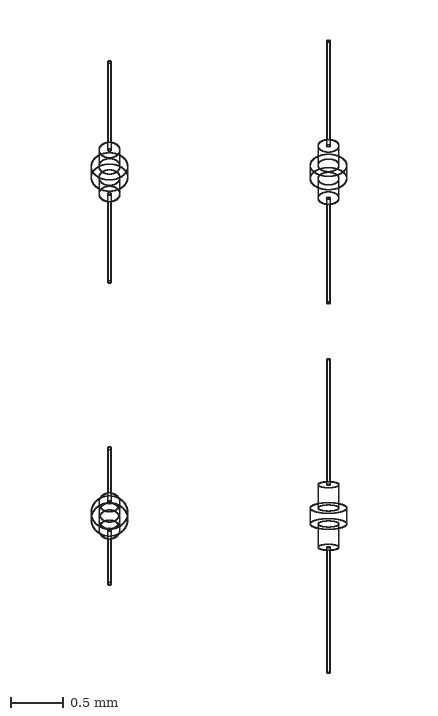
import cadquery as cq

lead_length = 3.13
lead_diameter = 0.03
body_length = 0.625
body_diameter = 0.2
collar_length = 0.16
collar_diameter = 0.35


def centred_cylinder(diameter, length):
    """Cylinder along Z, centred on the origin."""
    return cq.Workplane("XY").cylinder(length, diameter / 2)


lead = centred_cylinder(lead_diameter, lead_length)
body = centred_cylinder(body_diameter, body_length)
collar = centred_cylinder(collar_diameter, collar_length)

result = collar.union(body).union(lead)